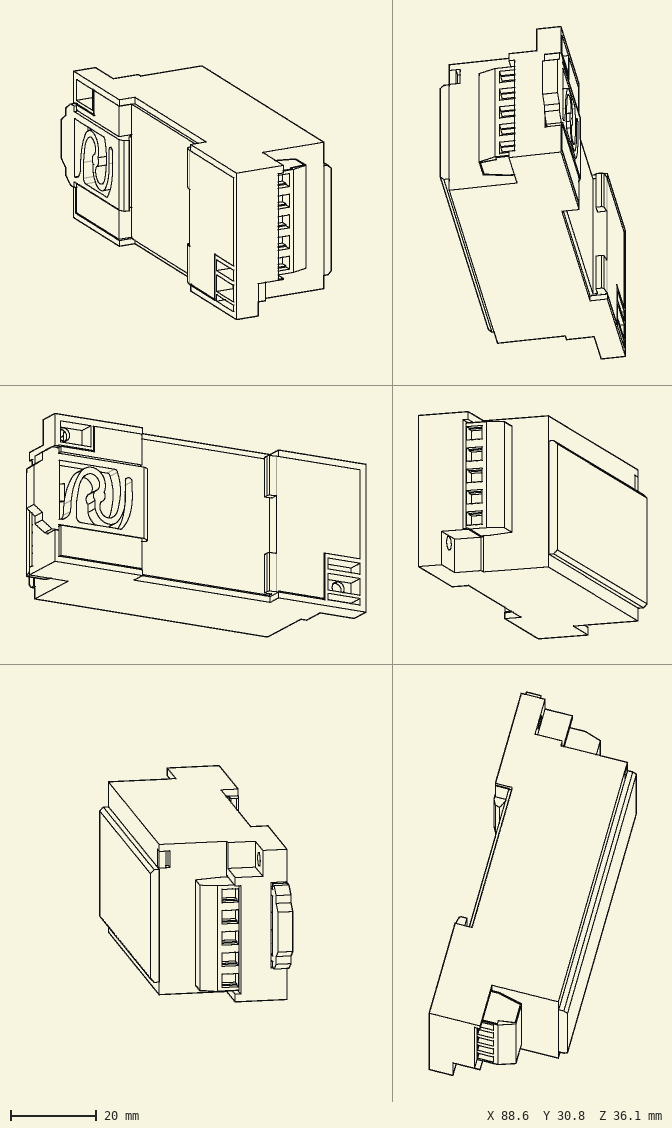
import cadquery as cq


length_end = 88.6
width = 36.1
shoulder_start = 5.8
shoulder_top = 12.3
tower_start = 16.0
tower_end = 78.05
tower_top = 28.35
rail_start = 29.1
rail_end = 65.3
rail_ceiling = 4.1
centre_x = (shoulder_start + length_end) / 2
centre_z = width / 2

notch_length = 9.0
notch_floor = 5.8
pocket_floor = 4.3
hole_radius = 1.6
left_notch_start = 29.85
right_notch_end = 8.0
left_hole = (10.45, 32.8)
right_hole = (83.5, 6.2)
left_pocket_x = (7.3, 15.3)
left_pocket_z = (29.3, 34.5)
right_pocket_x = (78.5, 87.0)
right_pockets_z = [(1.5, 3.1), (3.9, 8.0), (9.0, 11.7)]

cover_start = 7.35
cover_end = 87.0
cover_bottom = 1.7
cover_top = 34.5
left_corner = (16.3, 28.3)
right_corner = (77.4, 12.8)
cover_inner = 5.4
rail_face = 3.3
rail_face_start = 28.9
rail_face_end = 64.7
side_gap = 0.5
seat_gap = 0.3
hook_tip = 62.7
hook_upper = 2.2
hook_lower = 0.35
hook_bevel_width = 0.3
hook_bevel_end = 0.9
hooks_z = [(cover_bottom - seat_gap, 10.8), (24.8, cover_top)]

clip_centre_z = 17.7
clip_half_width = 8.7
clip_outer = -0.3
clip_inner = 3.3
clip_neck = 6.6
nose_start = 29.3
nose_edge = 30.65
nose_edge_y = 0.4
nose_tip = 31.0
nose_tip_y = 1.6
nose_root_y = 2.6
window_left = 6.8
window_bottom = 10.4
window_top = 24.7
channel_floor = 3.8
channel_bottom = clip_centre_z - clip_half_width
channel_top = 26.9
head_half_width = 10.0
wall_slot_top = 28.3
ramp_end = 9.7
ramp_peak = 2.6
ramp_root = 4.6
ramp_z = (16.0, 20.2)

pole_count = 5
plug_bottom = 2.1
plug_length = 25.4
pole_pitch = plug_length / pole_count
plug_seat = 11.0
plug_top = 20.0
plug_face = 7.9
plug_back = 15.9
plug_bevel_start = 16.0
plug_back_bevel_start = 14.2
plug_top_start = 9.2
plug_top_end = 14.4
plug_gap = 0.3
end_plate_inset = 0.3
end_plate_thickness = 0.1
plate_cut_bottom = 15.9
plate_cut_foot = 8.95
plate_cut_top = 9.5
wire_entry_width = 3.2
wire_entry_bottom = 11.2
wire_entry_top = 15.0
wire_entry_depth = 3.5
wire_entry_step = 0.3
wire_entry_step_depth = 1.8

lid_start = 15.8
lid_end = 77.7
lid_bottom = 3.1
lid_upper = 30.1
lid_top = 30.5
lid_chamfer = 0.9
tab_z = (30.4, 34.4)
tab_end = 26.75
tab_slot_end = 25.8
tab_wall = 0.9
tab_arm_end = 18.25
tab_arm_start_z = 26.6


def box(x_range, y_range, z_range):
    """Axis-aligned block between two limits on each axis."""
    spans = [high - low for low, high in (x_range, y_range, z_range)]
    corner = (x_range[0], y_range[0], z_range[0])
    return cq.Workplane("XY", origin=corner).box(*spans, centered=False)


def prism_z(points, z_range):
    """Outline in X and Y, drawn out along Z."""
    plane = cq.Workplane("XY", origin=(0, 0, z_range[0]))
    return plane.polyline(points).close().extrude(z_range[1] - z_range[0])


def plane_y(y_range):
    """X-Z plane at the upper Y limit; extruding from it goes towards -Y."""
    return cq.Workplane("XZ", origin=(0, y_range[1], 0))


def prism_y(points, y_range):
    """Outline in X and Z, drawn out along Y."""
    return plane_y(y_range).polyline(points).close().extrude(y_range[1] - y_range[0])


def opposite_end(body):
    """Turn a body half a turn about the Y direction through the middle of the housing."""
    return body.rotate((centre_x, 0, centre_z), (centre_x, 1, centre_z), 180)


def cover_outline(left_gap=0.0, lower_gap=0.0):
    """Cover outline in X and Z, stepped around both mounting corners."""
    start = cover_start - left_gap
    bottom = cover_bottom - lower_gap
    left_x = left_corner[0] - lower_gap
    left_z = left_corner[1] + lower_gap
    right_x = right_corner[0] + lower_gap
    right_z = right_corner[1]
    return [
        (start, bottom), (right_x, bottom), (right_x, right_z), (cover_end, right_z),
        (cover_end, cover_top), (left_x, cover_top), (left_x, left_z), (start, left_z),
    ]


def mounting_hole(position):
    return plane_y((0, notch_floor)).center(*position).circle(hole_radius).extrude(notch_floor)


def make_housing():
    profile = [
        (shoulder_start, 0), (rail_start, 0), (rail_start, rail_ceiling), (rail_end, rail_ceiling),
        (rail_end, 0), (length_end, 0), (length_end, shoulder_top), (tower_end, shoulder_top),
        (tower_end, tower_top), (tower_start, tower_top), (tower_start, shoulder_top),
        (shoulder_start, shoulder_top),
    ]
    body = prism_z(profile, (0, width))

    body = body.cut(prism_y(cover_outline(side_gap, seat_gap), (0, cover_inner)))
    wall_slot_z = (clip_centre_z - head_half_width, wall_slot_top)
    body = body.cut(box((shoulder_start, cover_start), (0, channel_floor), wall_slot_z))

    plug_slot_z = (plug_bottom - plug_gap, plug_bottom + plug_length + plug_gap)
    plug_slot = box((shoulder_start, tower_start), (plug_seat, shoulder_top), plug_slot_z)
    body = body.cut(plug_slot).cut(opposite_end(plug_slot))

    notch_y = (notch_floor, shoulder_top)
    left_notch_x = (shoulder_start, shoulder_start + notch_length)
    right_notch_x = (length_end - notch_length, length_end)
    body = body.cut(box(left_notch_x, notch_y, (left_notch_start, width)))
    body = body.cut(box(right_notch_x, notch_y, (0, right_notch_end)))
    body = body.cut(box(left_pocket_x, (0, pocket_floor), left_pocket_z))
    for pocket_z in right_pockets_z:
        body = body.cut(box(right_pocket_x, (0, pocket_floor), pocket_z))
    body = body.cut(mounting_hole(left_hole)).cut(mounting_hole(right_hole))

    body = body.cut(box((tower_start, tab_arm_end), (tab_slot_end, tower_top), tab_z))
    return body.cut(tab_arm())


def tab_arm():
    """Arm under the lid, behind the end wall of the housing, that carries the tab."""
    arm_x = (tower_start + tab_wall, tab_arm_end)
    return box(arm_x, (tab_end, tower_top), (tab_arm_start_z, tab_z[1]))


def make_lid():
    plate = box((lid_start, lid_end), (tower_top, lid_top), (lid_bottom, lid_upper))
    plate = plate.edges("|X and >Y").chamfer(lid_chamfer)
    tab = box((tower_start, tab_arm_end), (tab_end, tower_top), tab_z)
    return plate.union(tab_arm()).union(tab)


def make_base_cover():
    cover = prism_y(cover_outline(), (0, cover_inner))

    rail_edge_z = (cover_bottom - seat_gap, cover_bottom)
    cover = cover.union(box((rail_face_start, rail_end), (0, cover_inner), rail_edge_z))
    full_z = (0, width)
    cover = cover.cut(box((rail_face_start, rail_face_end), (0, rail_face), full_z))

    seat_start = cover_start - side_gap
    channel_z = (channel_bottom, channel_top)
    cover = cover.cut(box((cover_start, rail_face_start), (0, channel_floor), channel_z))
    cover = cover.union(box((seat_start, cover_start), (channel_floor, cover_inner), channel_z))
    cover = cover.cut(box((seat_start, ramp_end), (channel_floor, ramp_root), ramp_z))
    ramp = [(cover_start, ramp_root), (ramp_end, ramp_peak), (ramp_end, ramp_root)]
    cover = cover.union(prism_z(ramp, ramp_z))

    hook = [
        (rail_face_end, 0), (hook_tip + hook_bevel_width, hook_lower), (hook_tip, hook_bevel_end),
        (hook_tip, hook_upper), (rail_face_end, hook_upper),
    ]
    for hook_z in hooks_z:
        cover = cover.union(prism_z(hook, hook_z))
    return cover


def outer_spring_window():
    """Window to the left of the S-shaped spring, over its arch and down its right side."""
    bowl = [
        (23.0, 20.1), (22.5, 15.6), (21.8, 13.7), (20.55, 12.8), (19.2, 12.7), (17.8, 13.9), (18.0, 16.3),
    ]
    arch = [
        (19.0, 21.0), (17.9, 23.2), (15.3, 24.3), (13.0, 23.4), (11.7, 21.5), (10.6, 19.0), (9.9, 15.4),
    ]
    return (
        plane_y((clip_outer, clip_inner))
        .moveTo(window_left, window_bottom)
        .lineTo(window_left, window_top)
        .lineTo(21.4, window_top)
        .threePointArc((22.0, 24.5), (22.2, 24.1))
        .spline(bowl, includeCurrent=True)
        .threePointArc((19.0, 17.5), (18.7, 18.7))
        .spline(arch, includeCurrent=True)
        .lineTo(9.75, 12.7)
        .threePointArc((8.7, 11.1), (window_left, window_bottom))
        .close()
        .extrude(clip_inner - clip_outer)
    )


def inner_spring_window():
    """Window under the arch of the spring, along its foot and up the narrow slot at the right."""
    arch = [(11.7, 17.4), (12.85, 21.1), (15.4, 22.7), (17.2, 21.4), (17.0, 19.05)]
    bowl = [(17.2, 12.6), (18.8, 11.3), (21.6, 11.5), (23.0, 13.1), (24.0, 15.4), (24.4, 19.0)]
    slot_side = [(26.2, 19.2), (25.5, 14.2), (23.3, window_bottom)]
    return (
        plane_y((clip_outer, clip_inner))
        .moveTo(11.3, 11.4)
        .lineTo(11.3, 15.3)
        .spline(arch, includeCurrent=True)
        .threePointArc((15.9, 17.6), (16.3, 16.3))
        .lineTo(16.3, 14.35)
        .spline(bowl, includeCurrent=True)
        .lineTo(24.4, 22.4)
        .threePointArc((25.25, 23.2), (26.1, 22.4))
        .spline(slot_side, includeCurrent=True)
        .lineTo(12.4, window_bottom)
        .threePointArc((11.7, 10.7), (11.3, 11.4))
        .close()
        .extrude(clip_inner - clip_outer)
    )


def make_clip():
    head_half = [(0, 4.8), (2.2, 6.4), (2.2, 8.2), (4.8, head_half_width), (clip_neck, head_half_width)]
    upper = [(x, clip_centre_z + offset) for x, offset in head_half]
    lower = [(x, clip_centre_z - offset) for x, offset in reversed(head_half)]
    clip = prism_y(upper + lower, (clip_outer, clip_inner))

    slide = [
        (clip_neck, clip_inner), (clip_neck, clip_outer), (nose_start, clip_outer),
        (nose_edge, nose_edge_y), (nose_tip, nose_tip_y),
        (rail_face_start, nose_root_y), (rail_face_start, clip_inner),
    ]
    slide_z = (clip_centre_z - clip_half_width, clip_centre_z + clip_half_width)
    clip = clip.union(prism_z(slide, slide_z))
    return clip.cut(outer_spring_window()).cut(inner_spring_window())


def make_plug():
    """Five-pole plug at the clip end of the housing."""
    profile = [
        (plug_face, plug_seat), (plug_face, plug_bevel_start), (plug_top_start, plug_top),
        (plug_top_end, plug_top), (plug_back, plug_back_bevel_start), (plug_back, plug_seat),
    ]
    plug_upper = plug_bottom + plug_length
    plug = prism_z(profile, (plug_bottom + end_plate_thickness, plug_upper))

    plate_face = plug_face + end_plate_inset
    plate_back = plug_back - end_plate_inset
    plate_top = plug_top - end_plate_inset
    plate = [
        (plate_face, plug_seat), (plate_face, plate_cut_bottom), (plate_cut_foot, plate_cut_bottom),
        (plate_cut_top, plate_top), (plug_top_end - end_plate_inset, plate_top),
        (plate_back, plug_back_bevel_start), (plate_back, plug_seat),
    ]
    plug = plug.union(prism_z(plate, (plug_bottom, plug_bottom + end_plate_thickness)))

    entry_y = (wire_entry_bottom, wire_entry_top)
    mouth_x = (plug_face, plug_face + wire_entry_step_depth)
    throat_x = (plug_face, plug_face + wire_entry_depth)
    for pole in range(pole_count):
        middle = plug_bottom + pole_pitch * (pole + 0.5)
        mouth_half = wire_entry_width / 2
        throat_half = mouth_half - wire_entry_step
        plug = plug.cut(box(mouth_x, entry_y, (middle - mouth_half, middle + mouth_half)))
        plug = plug.cut(box(throat_x, entry_y, (middle - throat_half, middle + throat_half)))
    return plug


housing = make_housing()
lid = make_lid()
base_cover = make_base_cover()
clip = make_clip()
plugs = []
for turned in (False, True):
    plug = make_plug()
    plugs.append(opposite_end(plug) if turned else plug)

result = cq.Compound.makeCompound(
    [housing.val(), lid.val(), base_cover.val(), clip.val(), *[plug.val() for plug in plugs]]
)